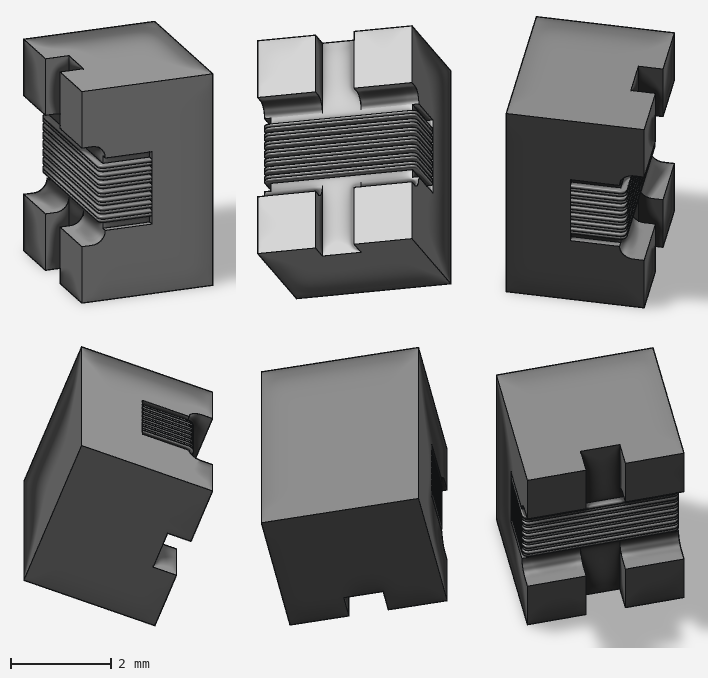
import cadquery as cq
import math

width = 3.2
depth = 2.8
height = 4.5
side_x = width / 2
front_y = -depth / 2

channel_depth = 0.5
groove_width = 0.8
window_height = 2.095
window_fillet = 0.28
floor_y = front_y + channel_depth

pocket_depth = 0.13
pocket_length = 1.0
pocket_height = window_height - 2 * window_fillet
pocket_end_y = floor_y + pocket_length

wire_radius = 0.035
wire_rise = 0.13
pair_count = 7
pair_pitch = 0.18
pair_spacing = 0.068


def make_block():
    """Block with a vertical groove and a filleted cross window in its front."""
    block = cq.Workplane("XY").box(width, depth, height)
    tool_depth = 2 * channel_depth
    groove = cq.Workplane("XY").box(groove_width, tool_depth, height).translate((0, front_y, 0))
    window = (
        cq.Workplane("XY")
        .box(width, tool_depth, window_height)
        .faces(">Y")
        .edges("|X")
        .fillet(window_fillet)
        .translate((0, front_y, 0))
    )
    return block.cut(groove).cut(window)


def make_pocket(side):
    """Rectangular pocket in one side face, running back from the channel floor."""
    center = (side * (side_x - pocket_depth / 2), (floor_y + pocket_end_y) / 2, 0)
    return cq.Workplane("XY").box(pocket_depth, pocket_length, pocket_height).translate(center)


def make_turn():
    """One wire around the core: a round-edged rib with its web filled in to the core."""
    bend_radius = wire_rise - wire_radius
    core_x = side_x - pocket_depth
    wire_x = core_x + bend_radius
    wire_y = floor_y - bend_radius
    diagonal = bend_radius * math.cos(math.radians(45))
    path = (
        cq.Workplane("XY")
        .moveTo(-wire_x, pocket_end_y)
        .lineTo(-wire_x, floor_y)
        .threePointArc((-core_x - diagonal, floor_y - diagonal), (-core_x, wire_y))
        .lineTo(core_x, wire_y)
        .threePointArc((core_x + diagonal, floor_y - diagonal), (wire_x, floor_y))
        .lineTo(wire_x, pocket_end_y)
    )
    start = cq.Workplane("XZ", origin=(-wire_x, pocket_end_y, 0))
    wire = start.circle(wire_radius).sweep(path)
    web = (
        cq.Workplane("XY")
        .box(2 * wire_x, pocket_end_y - wire_y, 2 * wire_radius)
        .edges("|Z and <Y")
        .fillet(bend_radius)
        .translate((0, (wire_y + pocket_end_y) / 2, 0))
    )
    return wire.union(web)


result = make_block()
for side in (-1, 1):
    result = result.cut(make_pocket(side))

turn = make_turn()
for pair in range(pair_count):
    pair_z = (pair - (pair_count - 1) / 2) * pair_pitch
    for offset in (-pair_spacing / 2, pair_spacing / 2):
        result = result.union(turn.translate((0, 0, pair_z + offset)))